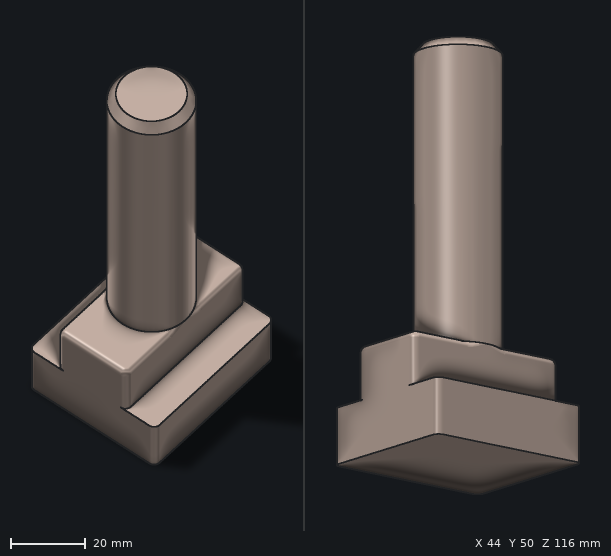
import cadquery as cq
import math

total_height = 116.0
head_width = 44.0
head_length = 50.0
head_height = 15.8
shank_diameter = 24.0
neck_width = shank_diameter
neck_top = 31.0
edge_radius = 2.0
tip_chamfer_height = 2.8
tip_chamfer_inset = 2.4


def rounded_block(width, length, height):
    """Block standing on the base plane with rounded vertical edges."""
    block = cq.Workplane("XY").box(width, length, height, centered=(True, True, False))
    return block.edges("|Z").fillet(edge_radius)


head = rounded_block(head_width, head_length, head_height)

neck = rounded_block(neck_width, head_length, neck_top).faces(">Z").edges().fillet(edge_radius)

shank_radius = shank_diameter / 2
shank = (
    cq.Workplane("XZ")
    .lineTo(shank_radius, 0)
    .lineTo(shank_radius, total_height - tip_chamfer_height)
    .lineTo(shank_radius - tip_chamfer_inset, total_height)
    .lineTo(0, total_height)
    .close()
    .revolve(360, (0, 0, 0), (0, 1, 0))
)

runout_sections = 6
runout_reach = math.sqrt(shank_radius**2 - (shank_radius - edge_radius) ** 2)


def rounding_lift(y):
    """Height the rounding arc is raised at distance y from the tangent point."""
    arc_run = math.sqrt(shank_radius**2 - y**2) - (shank_radius - edge_radius)
    return edge_radius - math.sqrt(max(edge_radius**2 - arc_run**2, 0))


def runout_section(y):
    """Closed profile across the neck side at y, with the lifted rounding on its outer corner."""
    arc_center_x = shank_radius - edge_radius
    arc_center_z = neck_top - edge_radius + rounding_lift(y)
    arc_middle = edge_radius * math.sqrt(0.5)
    return (
        cq.Workplane("XZ", origin=(0, y, 0))
        .moveTo(arc_center_x, head_height)
        .lineTo(shank_radius, head_height)
        .lineTo(shank_radius, arc_center_z)
        .threePointArc(
            (arc_center_x + arc_middle, arc_center_z + arc_middle),
            (arc_center_x, arc_center_z + edge_radius),
        )
        .close()
        .val()
    )


section_places = [runout_reach * i / (runout_sections - 1) for i in range(runout_sections)]
lifted_rounding = cq.Workplane(cq.Solid.makeLoft([runout_section(y) for y in section_places]))
below_neck_top = cq.Workplane("XY").box(
    head_width, head_length, neck_top, centered=(True, True, False)
)
runout = lifted_rounding.intersect(below_neck_top)
runout_pair = runout.union(runout.mirror("XZ"))

result = head.union(neck).union(shank).union(runout_pair).union(runout_pair.mirror("YZ")).clean()